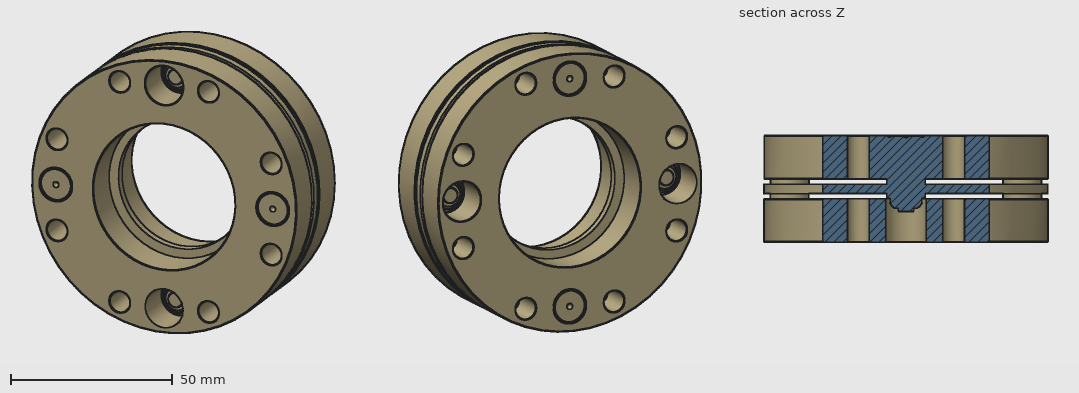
import cadquery as cq
import math

total_width = 33.1
hub_diameter = 88.0
disc_diameter = 87.9
disc_thickness = 3.0
spacer_gap = 1.5
hub_width = total_width / 2 - disc_thickness / 2 - spacer_gap
edge_chamfer = 0.3

hub_bore = 47.0
disc_bore = 42.0

stud_circle_radius = 36.0
spacer_diameter = 12.0
clearance_hole_diameter = 12.5
head_diameter = 10.0
head_shoulder_diameter = 8.6
head_top_diameter = 7.2
head_base_height = 1.5
head_steep_taper_height = 1.0
head_shallow_taper_height = 0.5
head_height = head_base_height + head_steep_taper_height + head_shallow_taper_height
tip_diameter = 5.0
tip_height = 1.0
tip_chamfer = 0.2

stud_end_diameter = 10.0
stud_end_chamfer = 0.1
stud_end_setback = 0.2
groove_diameter = 11.0
groove_depth = 0.5
centre_mark_diameter = 1.9
centre_mark_depth = 0.8

mount_hole_diameter = 6.65
mount_circle_radius = 38.5
mount_hole_count = 8
mount_pitch_angle = 2 * math.pi / mount_hole_count
hole_chamfer = 0.25

hub_outer_y = -total_width / 2
hub_inner_y = hub_outer_y + hub_width
disc_front_y = -disc_thickness / 2


def rod(diameter, start_y, length, x=0.0, z=0.0):
    """Cylinder along +Y that starts at start_y."""
    solid = cq.Solid.makeCylinder(diameter / 2, length, cq.Vector(x, start_y, z), cq.Vector(0, 1, 0))
    return cq.Workplane(solid)


def cone(start_diameter, end_diameter, start_y, length, x=0.0, z=0.0):
    """Truncated cone along +Y that starts at start_y."""
    solid = cq.Solid.makeCone(
        start_diameter / 2, end_diameter / 2, length, cq.Vector(x, start_y, z), cq.Vector(0, 1, 0)
    )
    return cq.Workplane(solid)


def chamfered_hole(diameter, x=0.0, z=0.0):
    """Cutter for a hole through the front hub, chamfered at its outer mouth."""
    mouth = cone(diameter + 2 * hole_chamfer, diameter, hub_outer_y, hole_chamfer, x, z)
    return rod(diameter, hub_outer_y, hub_width, x, z).union(mouth)


def stud_end_recess(x):
    """Cutter for the groove around a chamfered stud end, with its centre mark."""
    end_y = hub_outer_y + stud_end_setback
    end = rod(stud_end_diameter, end_y, groove_depth - stud_end_setback, x)
    end = end.faces("<Y").edges().chamfer(stud_end_chamfer)
    groove = rod(groove_diameter, hub_outer_y, groove_depth, x).cut(end)
    mark = cone(centre_mark_diameter, 0, end_y, centre_mark_depth, x)
    return groove.union(mark)


def make_hub():
    """Front hub: clearance holes on the Z axis (only the upper one chamfered), stud ends on the X axis."""
    hub = rod(hub_diameter, hub_outer_y, hub_width).edges("%CIRCLE").chamfer(edge_chamfer)
    hub = hub.cut(chamfered_hole(hub_bore))
    for index in range(mount_hole_count):
        angle = mount_pitch_angle / 2 + index * mount_pitch_angle
        x = mount_circle_radius * math.cos(angle)
        z = mount_circle_radius * math.sin(angle)
        hub = hub.cut(chamfered_hole(mount_hole_diameter, x, z))
    for side in (-1, 1):
        hub = hub.cut(stud_end_recess(side * stud_circle_radius))
    hub = hub.cut(chamfered_hole(clearance_hole_diameter, z=stud_circle_radius))
    return hub.cut(rod(clearance_hole_diameter, hub_outer_y, hub_width, z=-stud_circle_radius))


def make_stud_head(z):
    """Stud head with two tapers and a small tip, standing on its spacer inside a clearance hole."""
    top_y = hub_inner_y - head_height
    shoulder_y = top_y + head_shallow_taper_height
    base_y = shoulder_y + head_steep_taper_height
    head = rod(head_diameter, base_y, head_base_height, z=z)
    head = head.union(cone(head_shoulder_diameter, head_diameter, shoulder_y, head_steep_taper_height, z=z))
    head = head.union(cone(head_top_diameter, head_shoulder_diameter, top_y, head_shallow_taper_height, z=z))
    tip = rod(tip_diameter, top_y - tip_height, tip_height, z=z)
    tip = tip.faces("<Y").edges().chamfer(tip_chamfer)
    return head.union(tip)


def make_half():
    """Front hub with the four spacers and the two stud heads on its side of the disc."""
    half = make_hub()
    for side in (-1, 1):
        offset = side * stud_circle_radius
        half = half.union(rod(spacer_diameter, hub_inner_y, spacer_gap, x=offset))
        half = half.union(rod(spacer_diameter, hub_inner_y, spacer_gap, z=offset))
        half = half.union(make_stud_head(offset))
    return half


disc = rod(disc_diameter, disc_front_y, disc_thickness).cut(rod(disc_bore, disc_front_y, disc_thickness))
front_half = make_half()
rear_half = front_half.rotate((0, 0, 0), (1, 0, 1), 180)
result = disc.union(front_half).union(rear_half)